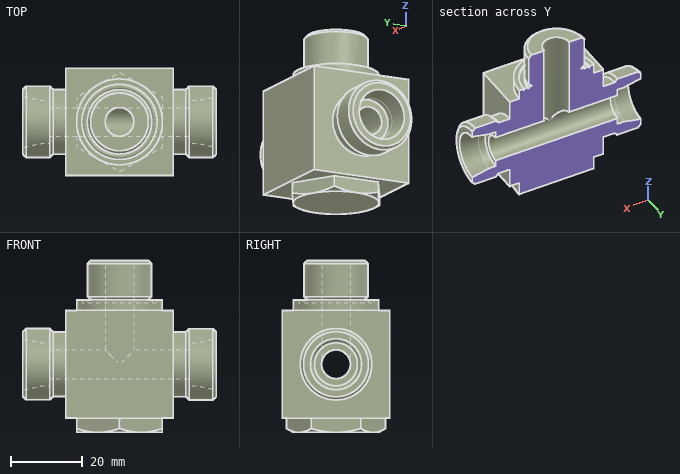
import cadquery as cq
import math

body_side = 30.0
half_body = body_side / 2
bore_diameter = 8.0

overall_length = 54.0
port_diameter = 20.0
port_neck_diameter = 18.15
port_head_length = 8.5
port_chamfer = 0.9
seat_diameter = 12.0
seat_mouth_diameter = 14.25
seat_half_angle = 12.0
seat_depth = 7.5

collar_diameter = 24.0
collar_height = 2.95
stud_diameter = 18.0
stud_length = 11.0
stud_chamfer = 0.9
stud_root_diameter = 16.0
seal_outer_diameter = 21.0
seal_inner_diameter = 18.0

hex_across_flats = 24.0
hex_height = 4.0
hex_chamfer_angle = 30.0
hex_sector_half_angle = 30.0


def revolve_about_z(outline):
    """Turn a closed (radius, height) outline around the Z axis."""
    profile = cq.Workplane("XZ").polyline(outline).close()
    return profile.revolve(360, (0, 0, 0), (0, 1, 0))


def make_port():
    """Side port standing along +Z, starting at the body centre."""
    end = overall_length / 2
    head_start = end - port_head_length
    radius = port_diameter / 2
    neck_radius = port_neck_diameter / 2
    return revolve_about_z([
        (0, 0),
        (neck_radius, 0),
        (neck_radius, head_start),
        (radius, head_start + port_chamfer),
        (radius, end - port_chamfer),
        (radius - port_chamfer, end),
        (0, end),
    ])


def make_seat():
    """Recess of a port: a conical mouth leading into a flat-bottomed bore."""
    end = overall_length / 2
    seat_radius = seat_diameter / 2
    mouth_radius = seat_mouth_diameter / 2
    cone_depth = (mouth_radius - seat_radius) / math.tan(math.radians(seat_half_angle))
    return revolve_about_z([
        (0, end - seat_depth),
        (seat_radius, end - seat_depth),
        (seat_radius, end - cone_depth),
        (mouth_radius, end),
        (0, end),
    ])


def make_stud():
    """Collar and stud, standing on top of the body."""
    collar_top = half_body + collar_height
    stud_top = collar_top + stud_length
    collar_radius = collar_diameter / 2
    radius = stud_diameter / 2
    return revolve_about_z([
        (0, half_body),
        (collar_radius, half_body),
        (collar_radius, collar_top),
        (stud_root_diameter / 2, collar_top),
        (radius, collar_top + stud_chamfer),
        (radius, stud_top - stud_chamfer),
        (radius - stud_chamfer, stud_top),
        (0, stud_top),
    ])


def make_seal_groove():
    """Square groove around the stud, reaching the middle of the seal ring."""
    groove_depth = (seal_outer_diameter - seal_inner_diameter) / 4
    return (
        cq.Workplane("XY", origin=(0, 0, half_body + collar_height - groove_depth))
        .circle(seal_outer_diameter / 2)
        .circle(seal_inner_diameter / 2)
        .extrude(groove_depth)
    )


def make_seal():
    """Round seal ring, half sunk in the groove floor, its crown flush with the collar."""
    middle_radius = (seal_outer_diameter + seal_inner_diameter) / 4
    section_radius = (seal_outer_diameter - seal_inner_diameter) / 4
    section_height = half_body + collar_height - section_radius
    profile = cq.Workplane("XZ").center(middle_radius, section_height).circle(section_radius)
    return profile.revolve(360, (-middle_radius, 0, 0), (-middle_radius, 1, 0))


def make_hex_plug():
    """Hexagon with flats facing X and its lower corners turned off conically."""
    across_corners = hex_across_flats / math.cos(math.radians(hex_sector_half_angle))
    bottom = -half_body - hex_height
    hexagon = (
        cq.Workplane("XY", origin=(0, 0, bottom))
        .transformed(rotate=(0, 0, 90))
        .polygon(6, across_corners)
        .extrude(hex_height)
    )
    face_radius = hex_across_flats / 2
    upper_radius = face_radius + hex_height / math.tan(math.radians(hex_chamfer_angle))
    corner_cone = revolve_about_z([
        (0, bottom),
        (face_radius, bottom),
        (upper_radius, -half_body),
        (0, -half_body),
    ])
    return hexagon.intersect(corner_cone)


def make_bores():
    """Through bore along X and a bore from the stud down to its axis."""
    through = cq.Workplane("YZ").circle(bore_diameter / 2).extrude(overall_length / 2, both=True)
    stud_bore_depth = half_body + collar_height + stud_length
    return through.union(cq.Workplane("XY").circle(bore_diameter / 2).extrude(stud_bore_depth))


result = cq.Workplane("XY").box(body_side, body_side, body_side)
result = result.union(make_stud()).union(make_hex_plug())
result = result.cut(make_seal_groove()).union(make_seal())
port_turns = (-90, 90)
for turn in port_turns:
    result = result.union(make_port().rotate((0, 0, 0), (0, 1, 0), turn))
for turn in port_turns:
    result = result.cut(make_seat().rotate((0, 0, 0), (0, 1, 0), turn))
result = result.cut(make_bores())